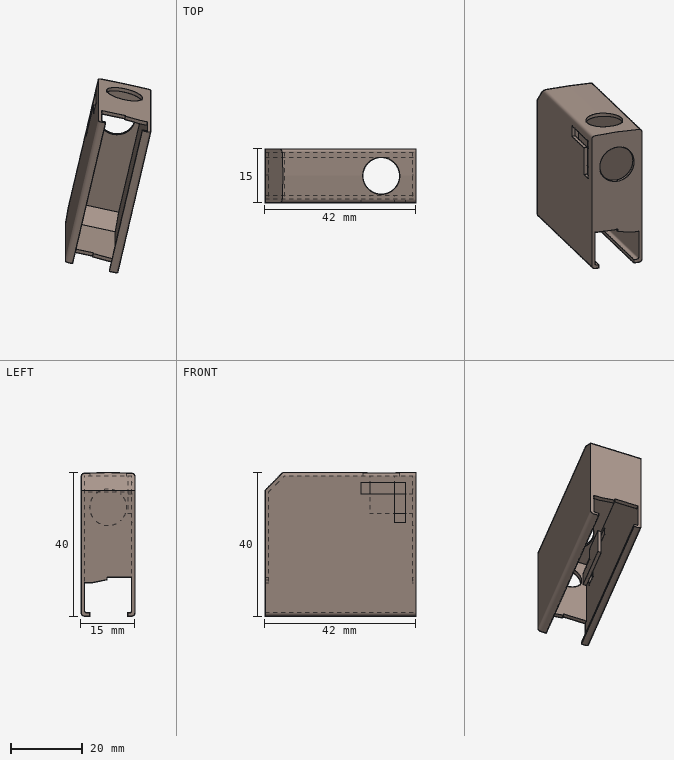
import cadquery as cq

LENGTH = 42.0
WIDTH = 15.0
HEIGHT = 40.0
WALL = 1.0

CROWN_DROP = 0.25
EDGE_RADIUS = 1.0
NOSE_CHAMFER = 5.0

PLUS_Y_LIP_WIDTH = 2.45
MINUS_Y_LIP_WIDTH = 2.1
LIP_INNER_RADIUS = 0.5

OPENING_LOW_Z = 9.3
OPENING_SLOPE_START_Y = 4.5
OPENING_SLOPE_END_Z = 10.15
OPENING_STEP_Y = 0.25
OPENING_HIGH_Z = 10.8

HOLE_DIAMETER = 10.2
HOLE_INSET = 9.7

WINDOW_RIGHT = LENGTH - 2.9
WINDOW_TOP = HEIGHT - 2.8
WINDOW_ARM = 3.15
WINDOW_LENGTH = 12.4
WINDOW_HEIGHT = 11.15

PLATE_THICKNESS = 1.0
PLATE_SETBACK = 2.5

half_width = WIDTH / 2
inner_half_width = half_width - WALL
inner_length = LENGTH - 2 * WALL
inner_top = HEIGHT - WALL
window_left = WINDOW_RIGHT - WINDOW_LENGTH
window_bottom = WINDOW_TOP - WINDOW_HEIGHT
arm_inner_x = WINDOW_RIGHT - WINDOW_ARM
arm_inner_z = WINDOW_TOP - WINDOW_ARM


def box_between(low, high):
    """Axis-aligned box from its low corner to its high corner."""
    size = [end - start for start, end in zip(low, high)]
    return cq.Workplane("XY").box(*size, centered=False).translate(low)


def nose_cut(chamfer):
    """Wedge that takes a 45 degree corner off the top of the -X end."""
    return (
        cq.Workplane("XZ")
        .polyline([(0, HEIGHT), (chamfer, HEIGHT), (0, HEIGHT - chamfer)])
        .close()
        .extrude(half_width, both=True)
    )


def outer_body():
    """Solid block with a crowned roof, rounded long edges and a cut nose."""
    side_top = HEIGHT - CROWN_DROP
    section = [
        (-half_width, 0),
        (half_width, 0),
        (half_width, side_top),
        (0, HEIGHT),
        (-half_width, side_top),
    ]
    body = cq.Workplane("YZ").polyline(section).close().extrude(LENGTH)
    body = body.edges("|X").edges("<Y or >Y").fillet(EDGE_RADIUS)
    return body.cut(nose_cut(NOSE_CHAMFER))


def cavity():
    """Hollow inside the walls, keeping one wall thickness under the nose cut."""
    hollow = box_between(
        (WALL, -inner_half_width, WALL),
        (WALL + inner_length, inner_half_width, inner_top),
    )
    return hollow.cut(nose_cut(NOSE_CHAMFER + WALL * 2 ** 0.5))


def end_opening():
    """Stepped opening running through both end walls, above the lips."""
    outline = [
        (-inner_half_width, WALL),
        (inner_half_width, WALL),
        (inner_half_width, OPENING_LOW_Z),
        (OPENING_SLOPE_START_Y, OPENING_LOW_Z),
        (OPENING_STEP_Y, OPENING_SLOPE_END_Z),
        (OPENING_STEP_Y, OPENING_HIGH_Z),
        (-inner_half_width, OPENING_HIGH_Z),
    ]
    return cq.Workplane("YZ").polyline(outline).close().extrude(LENGTH)


def inner_space():
    """Cavity and end openings together, rounded along the foot of the side walls."""
    space = cavity().union(end_opening())
    return space.faces("<Z").edges("<Y or >Y").fillet(LIP_INNER_RADIUS)


def lip_gap():
    """Full-length gap between the bottom lips."""
    low_y = -half_width + MINUS_Y_LIP_WIDTH
    high_y = half_width - PLUS_Y_LIP_WIDTH
    return box_between((0, low_y, 0), (LENGTH, high_y, 2 * WALL))


def roof_hole():
    """Round hole down through the roof."""
    return (
        cq.Workplane("XY", origin=(LENGTH - HOLE_INSET, 0, HEIGHT))
        .circle(HOLE_DIAMETER / 2)
        .extrude(-2 * WALL)
    )


def end_hole():
    """Round hole through the +X end wall."""
    return (
        cq.Workplane("YZ", origin=(LENGTH, 0, HEIGHT - HOLE_INSET))
        .circle(HOLE_DIAMETER / 2)
        .extrude(-2 * WALL)
    )


def window():
    """L-shaped window through the -Y side wall."""
    arm_along_x = box_between(
        (window_left, -half_width, arm_inner_z),
        (WINDOW_RIGHT, -inner_half_width, WINDOW_TOP),
    )
    arm_along_z = box_between(
        (arm_inner_x, -half_width, window_bottom),
        (WINDOW_RIGHT, -inner_half_width, WINDOW_TOP),
    )
    return arm_along_x.union(arm_along_z)


def backing_plate():
    """Plate joined to the side wall, roof and +X wall, open at the window corner."""
    back_y = -inner_half_width + PLATE_THICKNESS
    end_x = LENGTH - WALL
    plate = box_between(
        (window_left + PLATE_SETBACK, -inner_half_width, window_bottom + PLATE_SETBACK),
        (end_x, back_y, inner_top),
    )
    corner = box_between(
        (arm_inner_x, -inner_half_width, arm_inner_z),
        (end_x, back_y, inner_top),
    )
    return plate.cut(corner)


shell = outer_body().cut(inner_space()).cut(lip_gap())
result = shell.union(backing_plate()).cut(roof_hole()).cut(end_hole()).cut(window())